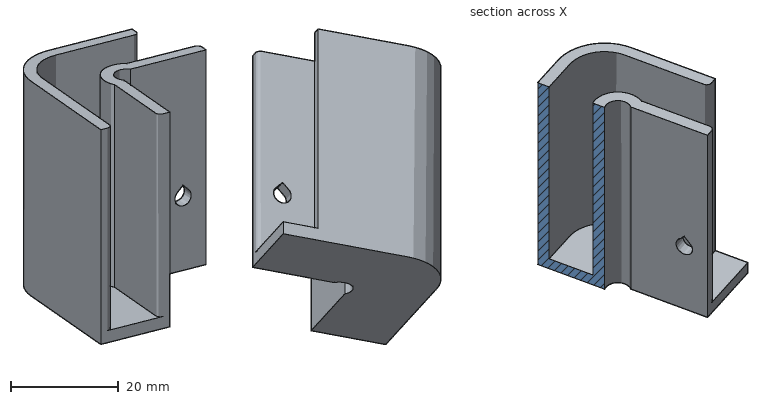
import cadquery as cq
import math

leg_length = 35.0
leg_width = 15.0
height = 44.0
wall = 2.5
outer_corner_radius = 10.0
corner_relief_radius = 2.5
short_wall_end = 28.0
end_rounding = 1.0

screw_radius = 1.75
screw_y = 30.0
screw_z = 15.0

relief_center = leg_width + corner_relief_radius / math.sqrt(2)


def block(x, y, size_x, size_y):
    """Full-height box with its low corner at (x, y)."""
    return cq.Workplane("XY").rect(size_x, size_y, centered=False).extrude(height).translate((x, y, 0))


def l_block(offset, depth):
    """Solid L, its outer faces moved inward by offset, with a rounded outer corner."""
    return (
        cq.Workplane("XY")
        .moveTo(offset, offset)
        .lineTo(leg_length, offset)
        .lineTo(leg_length, leg_width)
        .lineTo(leg_width, leg_width)
        .lineTo(leg_width, leg_length)
        .lineTo(offset, leg_length)
        .close()
        .extrude(depth)
        .edges(cq.selectors.NearestToPointSelector((offset, offset, depth / 2)))
        .fillet(outer_corner_radius - offset)
    )


def relief_cylinder(radius):
    """Full-height cylinder on the inside-corner axis."""
    return cq.Workplane("XY").center(relief_center, relief_center).circle(radius).extrude(height)


def make_inner_wall():
    """Two straight walls joined by a round wall around the inside-corner groove."""
    channel_side = leg_width - wall
    straight_length = leg_length - relief_center
    x_leg_wall = block(relief_center, channel_side, straight_length, wall)
    y_leg_wall = block(channel_side, relief_center, wall, straight_length)
    opening_size = leg_length - leg_width
    opening = block(leg_width, leg_width, opening_size, opening_size)
    round_wall = relief_cylinder(corner_relief_radius + wall).cut(opening)
    inner_wall = round_wall.union(x_leg_wall).union(y_leg_wall)
    return round_wall_ends(
        inner_wall,
        [(channel_side, leg_length), (leg_length, channel_side)],
    )


def make_outer_wall():
    """Wall along the outer faces, stopping short on the Y leg."""
    shell = l_block(0, height).cut(l_block(wall, height))
    cutoff = block(0, short_wall_end, leg_width, leg_length - short_wall_end)
    return round_wall_ends(shell.cut(cutoff), [(wall, short_wall_end), (leg_length, wall)])


def round_wall_ends(body, corners):
    """Round the vertical edges that stand at the given plan positions."""
    for x, y in corners:
        edge = cq.selectors.NearestToPointSelector((x, y, height / 2))
        body = body.edges("|Z").edges(edge).fillet(end_rounding)
    return body


def make_screw_hole():
    """Teardrop hole with its point up, running along X through the inner wall."""
    flank = screw_radius / math.sqrt(2)
    tip = screw_radius * math.sqrt(2)
    return (
        cq.Workplane("YZ")
        .center(screw_y, screw_z)
        .moveTo(-flank, flank)
        .threePointArc((0, -screw_radius), (flank, flank))
        .lineTo(0, tip)
        .close()
        .extrude(leg_width)
    )


floor = l_block(0, wall)

result = (
    floor.union(make_inner_wall())
    .union(make_outer_wall())
    .cut(relief_cylinder(corner_relief_radius))
    .cut(make_screw_hole())
)